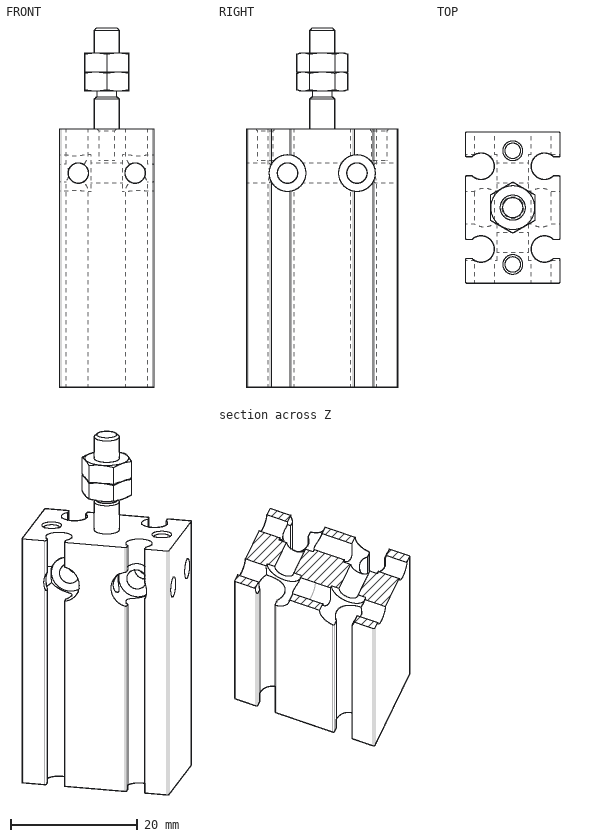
import cadquery as cq
import math

TOTAL_HEIGHT = 57.0
BODY_X = 15.0
BODY_Y = 24.0
BODY_HEIGHT = 41.0
SIDE_EDGE_FILLET = 0.2

SLOT_DIAMETER = 4.15
SLOT_CENTER_X = 5.0
SLOT_CENTER_Y = 6.55
SLOT_MOUTH_WIDTH = 2.95

CROSS_HOLE_DIAMETER = 3.2
CROSS_HOLE_BELOW_TOP = 7.0
X_HOLE_SPACING = 11.0
Y_HOLE_SPACING = 9.0
COUNTERBORE_DIAMETER = 5.8
COUNTERBORE_DEPTH = 5.0

TAP_DIAMETER = 2.45
TAP_MOUTH_DIAMETER = 3.15
TAP_SPACING = 18.0
TAP_DEPTH = 5.0

ROD_DIAMETER = 4.0
ROD_TIP_DIAMETER = 3.2
NECK_DIAMETER = 3.15
SHOULDER_BELOW_TIP = 11.0
SHOULDER_CHAMFER = 0.3

NUT_ACROSS_FLATS = 7.0
NUT_HEIGHT = 3.0
NUTS_BELOW_TIP = 4.0
NUT_FACE_DIAMETER = 6.95
NUT_CHAMFER_ANGLE = 20.0

CROSS_HOLE_Z = BODY_HEIGHT - CROSS_HOLE_BELOW_TOP
SIDES = (-1, 1)


def slot_cutter(side_x, side_y):
    """Round groove with a parallel-sided mouth that breaks out of the side face."""
    groove = cq.Workplane("XY").circle(SLOT_DIAMETER / 2).extrude(BODY_HEIGHT)
    mouth_length = BODY_X / 2 - SLOT_CENTER_X
    mouth = (
        cq.Workplane("XY")
        .center(side_x * mouth_length / 2, 0)
        .rect(mouth_length, SLOT_MOUTH_WIDTH)
        .extrude(BODY_HEIGHT)
    )
    return groove.union(mouth).translate((side_x * SLOT_CENTER_X, side_y * SLOT_CENTER_Y, 0))


def counterbored_hole_cutter(side_y):
    """Hole right through along X, counterbored from both side faces."""
    plane = cq.Workplane("YZ").center(side_y * X_HOLE_SPACING / 2, CROSS_HOLE_Z)
    cutter = plane.circle(CROSS_HOLE_DIAMETER / 2).extrude(BODY_X / 2, both=True)
    for side_x in SIDES:
        counterbore = (
            plane.workplane(offset=side_x * BODY_X / 2)
            .circle(COUNTERBORE_DIAMETER / 2)
            .extrude(-side_x * COUNTERBORE_DEPTH)
        )
        cutter = cutter.union(counterbore)
    return cutter


def tapped_hole_cutter(side_y):
    mouth_chamfer = (TAP_MOUTH_DIAMETER - TAP_DIAMETER) / 2
    profile = [
        (0, BODY_HEIGHT),
        (TAP_MOUTH_DIAMETER / 2, BODY_HEIGHT),
        (TAP_DIAMETER / 2, BODY_HEIGHT - mouth_chamfer),
        (TAP_DIAMETER / 2, BODY_HEIGHT - TAP_DEPTH),
        (0, BODY_HEIGHT - TAP_DEPTH),
    ]
    hole = cq.Workplane("XZ").polyline(profile).close().revolve(360, (0, 0), (0, 1))
    return hole.translate((0, side_y * TAP_SPACING / 2, 0))


def make_cylinder_body():
    body = cq.Workplane("XY").box(BODY_X, BODY_Y, BODY_HEIGHT, centered=(True, True, False))
    for side_x in SIDES:
        for side_y in SIDES:
            body = body.cut(slot_cutter(side_x, side_y))

    body = body.faces("<X or >X").edges("|Z").fillet(SIDE_EDGE_FILLET)

    for side_y in SIDES:
        body = body.cut(counterbored_hole_cutter(side_y))
        body = body.cut(tapped_hole_cutter(side_y))

    front_holes = (
        cq.Workplane("XZ")
        .pushPoints([(side_x * Y_HOLE_SPACING / 2, CROSS_HOLE_Z) for side_x in SIDES])
        .circle(CROSS_HOLE_DIAMETER / 2)
        .extrude(BODY_Y / 2, both=True)
    )
    return body.cut(front_holes)


def rod_shaft():
    """Plain rod standing on the body, a neck under the nuts and a chamfered tip."""
    rod_radius = ROD_DIAMETER / 2
    tip_radius = ROD_TIP_DIAMETER / 2
    neck_radius = NECK_DIAMETER / 2
    shoulder_z = TOTAL_HEIGHT - SHOULDER_BELOW_TIP
    nuts_middle_z = TOTAL_HEIGHT - NUTS_BELOW_TIP - NUT_HEIGHT
    profile = [
        (0, BODY_HEIGHT),
        (rod_radius, BODY_HEIGHT),
        (rod_radius, shoulder_z - SHOULDER_CHAMFER),
        (rod_radius - SHOULDER_CHAMFER, shoulder_z),
        (neck_radius, shoulder_z),
        (neck_radius, nuts_middle_z),
        (rod_radius, nuts_middle_z),
        (rod_radius, TOTAL_HEIGHT - (rod_radius - tip_radius)),
        (tip_radius, TOTAL_HEIGHT),
        (0, TOTAL_HEIGHT),
    ]
    return cq.Workplane("XZ").polyline(profile).close().revolve(360, (0, 0), (0, 1))


def hex_nut(bottom_z, chamfer_bottom):
    """Hexagon with two corners on the Y axis, its corners turned off by a cone."""
    corner_radius = NUT_ACROSS_FLATS / math.sqrt(3)
    face_radius = NUT_FACE_DIAMETER / 2
    corner_drop = (corner_radius - face_radius) * math.tan(math.radians(NUT_CHAMFER_ANGLE))
    top_z = bottom_z + NUT_HEIGHT

    hexagon = (
        cq.Workplane("XY", origin=(0, 0, bottom_z))
        .polygon(6, 2 * corner_radius)
        .extrude(NUT_HEIGHT)
        .rotate((0, 0, 0), (0, 0, 1), 90)
    )
    profile = [(0, top_z), (face_radius, top_z), (corner_radius, top_z - corner_drop)]
    if chamfer_bottom:
        profile += [(corner_radius, bottom_z + corner_drop), (face_radius, bottom_z)]
    else:
        profile += [(corner_radius, bottom_z)]
    profile += [(0, bottom_z)]
    turned_blank = cq.Workplane("XZ").polyline(profile).close().revolve(360, (0, 0), (0, 1))
    return hexagon.intersect(turned_blank)


def make_piston_rod():
    upper_nut_z = TOTAL_HEIGHT - NUTS_BELOW_TIP - NUT_HEIGHT
    lower_nut_z = upper_nut_z - NUT_HEIGHT
    upper_nut = hex_nut(upper_nut_z, chamfer_bottom=False)
    lower_nut = hex_nut(lower_nut_z, chamfer_bottom=True)
    return rod_shaft().union(upper_nut).union(lower_nut)


cylinder_body = make_cylinder_body()
piston_rod = make_piston_rod()

result = cq.Compound.makeCompound([cylinder_body.val(), piston_rod.val()])